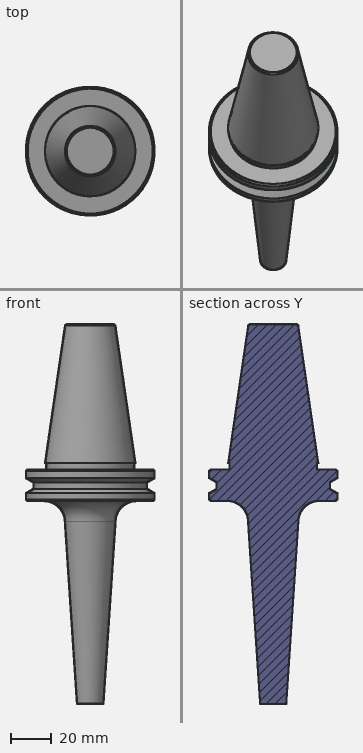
import cadquery as cq
import math

total_height = 187.5
gauge_height = 119.0
flange_top = 115.9
flange_bottom = 100.1

gauge_radius = 22.3
taper_per_side = 7 / 48
shank_chamfer = 0.8
relief_radius = 21.8

flange_radius = 31.78
flange_chamfer = 1.0
groove_radius = 28.1
groove_center = 107.8
groove_mouth = 7.5
groove_wall_angle = 30

nose_root_radius = 12.5
nose_tip_radius = 6.5
nose_fillet = 10.0
tip_chamfer = 0.2

shank_top_radius = gauge_radius - (total_height - gauge_height) * taper_per_side
shank_edge_radius = shank_top_radius + shank_chamfer * taper_per_side
groove_depth = flange_radius - groove_radius
groove_floor = groove_mouth - 2 * groove_depth * math.tan(math.radians(groove_wall_angle))
nose_root_height = flange_bottom - nose_fillet
fillet_outer_radius = nose_root_radius + nose_fillet
fillet_mid_offset = nose_fillet * math.sqrt(0.5)

profile = (
    cq.Workplane("XZ")
    .lineTo(nose_tip_radius - tip_chamfer, 0)
    .lineTo(nose_tip_radius, tip_chamfer)
    .lineTo(nose_root_radius, nose_root_height)
    .threePointArc(
        (fillet_outer_radius - fillet_mid_offset, nose_root_height + fillet_mid_offset),
        (fillet_outer_radius, flange_bottom),
    )
    .lineTo(flange_radius - flange_chamfer, flange_bottom)
    .lineTo(flange_radius, flange_bottom + flange_chamfer)
    .lineTo(flange_radius, groove_center - groove_mouth / 2)
    .lineTo(groove_radius, groove_center - groove_floor / 2)
    .lineTo(groove_radius, groove_center + groove_floor / 2)
    .lineTo(flange_radius, groove_center + groove_mouth / 2)
    .lineTo(flange_radius, flange_top - flange_chamfer)
    .lineTo(flange_radius - flange_chamfer, flange_top)
    .lineTo(relief_radius, flange_top)
    .lineTo(relief_radius, gauge_height)
    .lineTo(gauge_radius, gauge_height)
    .lineTo(shank_edge_radius, total_height - shank_chamfer)
    .lineTo(shank_top_radius - shank_chamfer, total_height)
    .lineTo(0, total_height)
    .close()
)

result = profile.revolve(360, (0, 0, 0), (0, 1, 0))